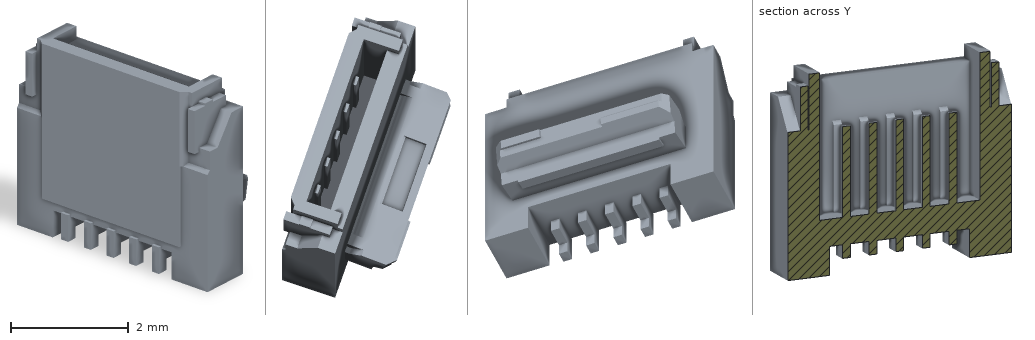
import cadquery as cq
import math


width = 4.2
height = 3.6
depth = 0.95
foot_gap_half_width = 1.31
foot_gap_height = 0.51

tower_half_width = 1.705
tower_back = 0.86
rear_wall_top = height - 0.25
shoulder_front = 0.06
shoulder_chamfer_bottom = 2.2
shoulder_chamfer_height = 0.07

cheek_top = 3.145
cheek_slope_start = 0.64
cheek_slope_end = 0.27
cheek_low_top = 2.62

plate_half_width = 1.515
plate_bevel = 0.115
plate_front = -0.045
plate_bottom = 0.685

slot_half_width = 1.5
slot_front = 0.23
slot_back = 0.647
slot_floor = 1.0

contact_count = 5
contact_pitch = 0.5
contact_width = 0.155
contact_reach = 0.06
contact_top = 2.6
terminal_front = -0.06
tail_depth = 0.2
tail_bottom = 0.055
tail_height = 0.5
shank_back = 0.5
shank_bottom = 0.27

clip_inner = tower_half_width + 0.01
clip_thickness = 0.15
clip_back = 0.775
clip_bottom = 2.545
clip_bump_front = 0.22
clip_bump_back = 0.425
clip_bump_height = 0.045

lever_tilt = 10
lever_half_width = 1.595
lever_tip_y = 1.795
lever_tip_z = 1.355
lever_tip_height = 0.325
lever_slope_length = 0.285
lever_slope_angle = 28
lever_thickness = 0.705
lever_length = 1.0
lever_corner = 0.105
lever_pad_reach = 0.045
lever_pad_height = 0.17
upper_pad_drop = 0.01
upper_pad_start = 0.735
upper_pad_end = 1.5
lower_pad_start = -upper_pad_end
lower_pad_end = -0.38
lever_foot_length = 0.2
lever_foot_height = 0.045
window_half_width = 0.625
window_start = 0.14
window_end = 0.55
window_depth = 0.1
window_ledge = 0.035
window_ledge_depth = 0.03
notch_width = 0.105
notch_depth = 0.19
notch_start = 0.55
notch_bottom = notch_start + notch_depth
neck_start = 0.845
groove_half_width = 1.295
groove_start = 0.63
groove_bottom = 0.765
groove_depth = 0.09
groove_step_end = 0.8
groove_step_depth = 0.13


def box(x0, x1, y0, y1, z0, z1):
    """Box between two corners."""
    return cq.Workplane("XY").box(x1 - x0, y1 - y0, z1 - z0, centered=False).translate((x0, y0, z0))


def side_prism(points, x0, x1):
    """Extrude a (y, z) outline along X from x0 to x1."""
    return cq.Workplane("YZ").polyline(points).close().extrude(x1 - x0).translate((x0, 0, 0))


def both_sides(shape):
    """Add the mirror image of a shape across the mid plane."""
    return shape.union(shape.mirror("YZ"))


def make_housing():
    chamfer_top = shoulder_chamfer_bottom + shoulder_chamfer_height
    cheek_outline = [
        (0, 0),
        (0, shoulder_chamfer_bottom),
        (shoulder_front, chamfer_top),
        (shoulder_front, cheek_low_top),
        (cheek_slope_end, cheek_low_top),
        (cheek_slope_start, cheek_top),
        (depth, cheek_top),
        (depth, 0),
    ]
    core_outline = [
        (0, 0),
        (0, shoulder_chamfer_bottom),
        (shoulder_front, chamfer_top),
        (shoulder_front, height),
        (tower_back, height),
        (tower_back, rear_wall_top),
        (depth, rear_wall_top),
        (depth, 0),
    ]
    core = side_prism(core_outline, -tower_half_width, tower_half_width)
    cheeks = side_prism(cheek_outline, -width / 2, width / 2)
    rear_gap = box(-slot_half_width, slot_half_width, slot_back, depth, rear_wall_top, height)
    foot_gap = box(-foot_gap_half_width, foot_gap_half_width, 0, depth, 0, foot_gap_height)
    return core.union(cheeks).cut(rear_gap).cut(foot_gap)


def make_plate():
    bevelled_half_width = plate_half_width + plate_bevel
    front_bevel = [
        (-plate_half_width, plate_front),
        (-bevelled_half_width, shoulder_front),
        (bevelled_half_width, shoulder_front),
        (plate_half_width, plate_front),
    ]
    bevelled = (
        cq.Workplane("XY")
        .workplane(offset=shoulder_chamfer_bottom)
        .polyline(front_bevel)
        .close()
        .extrude(height - shoulder_chamfer_bottom)
    )
    flat = box(-plate_half_width, plate_half_width, plate_front, shoulder_front, plate_bottom, height)
    return flat.union(bevelled)


def make_slot():
    return box(-slot_half_width, slot_half_width, slot_front, slot_back, slot_floor, height)


def make_terminal(x):
    """One solder tail with its pair of contact ribs inside the slot."""
    x0 = x - contact_width / 2
    x1 = x + contact_width / 2
    tail = box(x0, x1, terminal_front, terminal_front + tail_depth, tail_bottom, tail_bottom + tail_height)
    shank = box(x0, x1, terminal_front + tail_depth, shank_back, shank_bottom, foot_gap_height)
    front_rib = box(x0, x1, slot_front, slot_front + contact_reach, slot_floor, contact_top)
    back_rib_outline = [
        (slot_back, slot_floor),
        (slot_back, contact_top),
        (slot_back - contact_reach, contact_top - contact_reach),
        (slot_back - contact_reach, slot_floor),
    ]
    return tail.union(shank).union(front_rib).union(side_prism(back_rib_outline, x0, x1))


def make_clip():
    clip_outer = clip_inner + clip_thickness
    blade = box(clip_inner, clip_outer, terminal_front, clip_back, clip_bottom, rear_wall_top)
    bump_top = rear_wall_top + clip_bump_height
    bump = box(clip_inner, clip_outer, clip_bump_front, clip_bump_back, clip_bottom, bump_top)
    return blade.union(bump)


def lever_prism(points, x0, x1):
    """Extrude a (u, v) outline of the lever frame and tilt it into place."""
    flat = side_prism([(-u, v) for u, v in points], x0, x1)
    return flat.rotate((0, 0, 0), (1, 0, 0), -lever_tilt).translate((0, lever_tip_y, lever_tip_z))


def lever_block(u0, u1, v0, v1, x0, x1):
    """Box between two corners of the lever frame."""
    return lever_prism([(u0, v0), (u1, v0), (u1, v1), (u0, v1)], x0, x1)


def make_lever():
    """Stepped lever with tip pads, a top window, side notches and a groove along its root."""
    slope = math.radians(lever_slope_angle)
    step_u = lever_slope_length * math.cos(slope)
    step_v = -lever_tip_height - lever_slope_length * math.sin(slope)
    outline = [
        (0, 0),
        (0, -lever_tip_height),
        (step_u, step_v),
        (step_u, -lever_thickness),
        (lever_length, -lever_thickness),
        (lever_length, 0),
    ]
    lever = lever_prism(outline, -lever_half_width, lever_half_width)

    upper_pad = lever_block(
        -lever_pad_reach, lever_corner, -lever_pad_height, -upper_pad_drop, upper_pad_start, upper_pad_end
    )
    lower_pad_outline = [
        (-lever_pad_reach, -lever_pad_height),
        (-lever_pad_reach, lever_pad_reach * math.tan(slope) - lever_tip_height),
        (0, -lever_tip_height),
        (lever_corner, -lever_tip_height),
        (lever_corner, -lever_pad_height),
    ]
    lower_pad = lever_prism(lower_pad_outline, lower_pad_start, lower_pad_end)
    foot = lever_block(
        step_u,
        step_u + lever_foot_length,
        -lever_thickness - lever_foot_height,
        -lever_thickness,
        -groove_half_width,
        groove_half_width,
    )
    lever = lever.union(upper_pad).union(lower_pad).union(foot)
    lever = lever.cut(make_corner_cuts())

    window = [
        (window_start, 0),
        (window_start, -window_depth),
        (window_end - window_ledge, -window_depth),
        (window_end - window_ledge, -window_ledge_depth),
        (window_end, -window_ledge_depth),
        (window_end, 0),
    ]
    lever = lever.cut(lever_prism(window, -window_half_width, window_half_width))

    notch = [
        (notch_start, 0),
        (notch_bottom, -notch_depth),
        (lever_length, -notch_depth),
        (lever_length, 0),
    ]
    lever = lever.cut(both_sides(lever_prism(notch, lever_half_width - notch_width, lever_half_width)))

    neck = lever_block(neck_start, lever_length, -notch_depth, 0, -lever_half_width, lever_half_width)
    lever = lever.cut(neck)

    groove = [
        (groove_start, 0),
        (groove_bottom, -groove_depth),
        (groove_step_end, -groove_step_depth),
        (lever_length, -groove_step_depth),
        (lever_length, 0),
    ]
    return lever.cut(lever_prism(groove, -groove_half_width, groove_half_width))


def make_corner_cuts():
    """Wedges that bevel the two outer corners of the lever tip at 45 degrees."""
    inner_x = lever_half_width - lever_corner - lever_pad_reach
    corner = [
        (inner_x, lever_pad_reach),
        (lever_half_width, -lever_corner),
        (lever_half_width, lever_pad_reach),
    ]
    wedge = cq.Workplane("XY").polyline(corner).close().extrude(-lever_thickness)
    wedge = wedge.rotate((0, 0, 0), (1, 0, 0), -lever_tilt).translate((0, lever_tip_y, lever_tip_z))
    return both_sides(wedge)


result = make_housing().union(make_plate()).union(make_lever()).cut(make_slot())
result = result.union(both_sides(make_clip()))
for index in range(contact_count):
    result = result.union(make_terminal((index - (contact_count - 1) / 2) * contact_pitch))